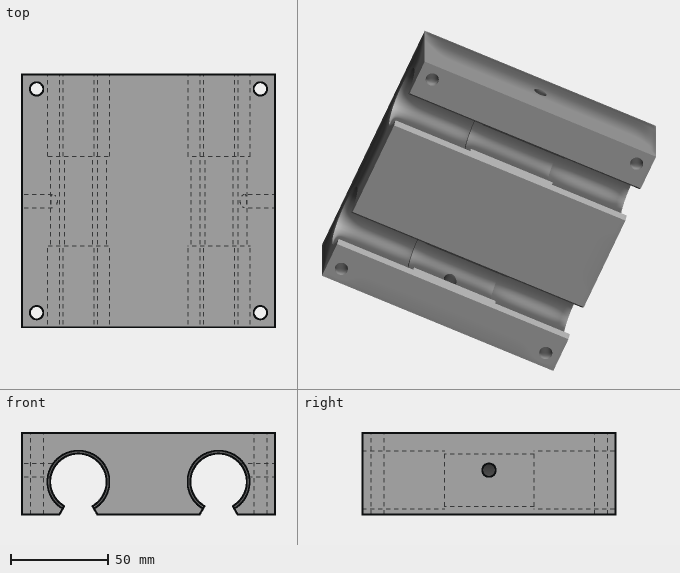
import cadquery as cq
import math

side = 130.0
height = 42.0

bore_spacing = 72.0
bore_height = 16.9
seat_diameter = 32.0
seat_depth = 42.0
neck_diameter = 28.9
slot_angle = 60.0

mount_diameter = 6.8
mount_inset = 7.5

cross_diameter = 6.9
cross_height = 22.9

bore_x = bore_spacing / 2
face_y = side / 2


def cylinder_along_y(x, diameter, start_y, length):
    axis_start = cq.Vector(x, start_y, bore_height)
    return cq.Workplane(cq.Solid.makeCylinder(diameter / 2, length, axis_start, cq.Vector(0, 1, 0)))


def bore_cutter(x):
    """Neck through the block, a wider seat at each end, and a wedge slot radial to the bore axis."""
    neck = cylinder_along_y(x, neck_diameter, -face_y, side)
    front_seat = cylinder_along_y(x, seat_diameter, -face_y, seat_depth)
    back_seat = cylinder_along_y(x, seat_diameter, face_y - seat_depth, seat_depth)
    slot_half_width = bore_height * math.tan(math.radians(slot_angle / 2))
    slot = (
        cq.Workplane("XZ", origin=(x, face_y, 0))
        .moveTo(0, bore_height)
        .lineTo(-slot_half_width, 0)
        .lineTo(slot_half_width, 0)
        .close()
        .extrude(side)
    )
    return neck.union(front_seat).union(back_seat).union(slot)


def cross_hole(direction):
    """Hole from one side face, ending inside the nearest bore."""
    start = cq.Vector(direction * side / 2, 0, cross_height)
    length = side / 2 - bore_x
    axis = cq.Vector(-direction, 0, 0)
    return cq.Workplane(cq.Solid.makeCylinder(cross_diameter / 2, length, start, axis))


block = cq.Workplane("XY").box(side, side, height, centered=(True, True, False))

mount_spacing = side - 2 * mount_inset
block = (
    block.faces(">Z")
    .workplane(origin=(0, 0, height))
    .rect(mount_spacing, mount_spacing, forConstruction=True)
    .vertices()
    .hole(mount_diameter)
)

for direction in (-1, 1):
    block = block.cut(bore_cutter(direction * bore_x))
    block = block.cut(cross_hole(direction))

result = block